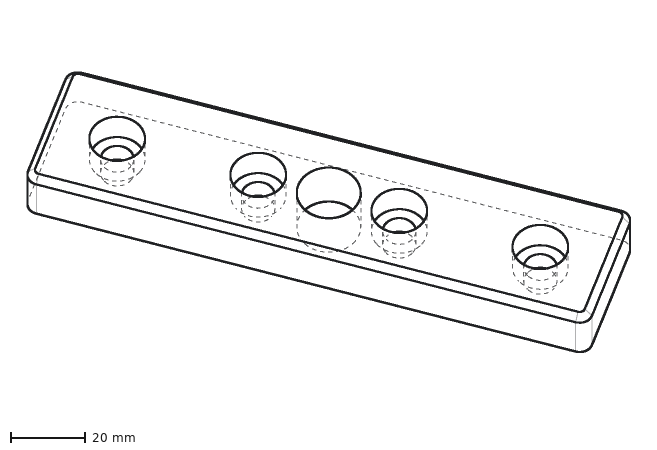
import cadquery as cq

length = 160.0
width = length / 4
height = 15.0
corner_radius = 3.5
top_chamfer = 2.0

center_hole_diameter = 17.3
screw_hole_diameter = 9.0
counterbore_diameter = 15.0
counterbore_depth = 9.0
inner_screw_x = length / 8
outer_screw_x = 3 * inner_screw_x
screw_positions = [(side * x, 0) for x in (inner_screw_x, outer_screw_x) for side in (-1, 1)]

plate = (
    cq.Workplane("XY")
    .box(length, width, height, centered=(True, True, False))
    .edges("|Z")
    .fillet(corner_radius)
    .faces(">Z")
    .chamfer(top_chamfer)
)

plate = plate.faces(">Z").workplane(origin=(0, 0, height)).hole(center_hole_diameter)

result = (
    plate.faces(">Z")
    .workplane(origin=(0, 0, height))
    .pushPoints(screw_positions)
    .cboreHole(screw_hole_diameter, counterbore_diameter, counterbore_depth)
)